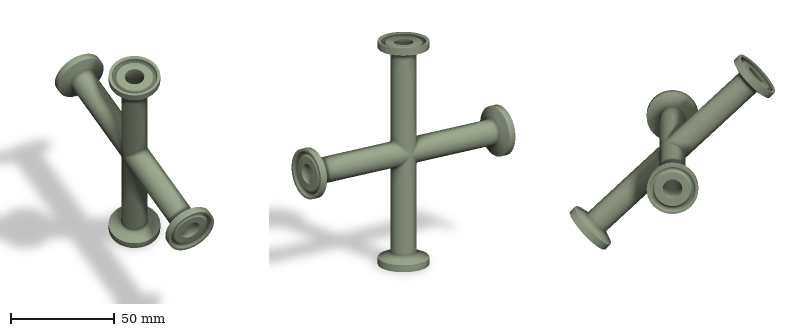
import cadquery as cq
import math

tube_diameter = 12.7
bore_diameter = 9.4
leg_length = 44.5
crotch_fillet = 1.2

ferrule_length = 12.7
flange_diameter = 25.0
rim_thickness = 3.6
flange_back_angle = 20.0
neck_fillet = 0.8

land_recess = 0.7
land_edge_fillet = 0.5
bore_edge_fillet = 0.25

groove_outer_radius = 10.85
groove_land_radius = 8.76
groove_bottom_round = 0.75
rim_edge_fillet = 0.7
groove_wall_angle = 53.0

tube_radius = tube_diameter / 2
bore_radius = bore_diameter / 2
flange_radius = flange_diameter / 2

leg_directions = [(1, 0, 0), (-1, 0, 0), (0, 0, 1), (0, 0, -1)]


def make_run(radius, direction):
    """A straight cylinder through the middle of the cross, from leg end to leg end."""
    axis = cq.Vector(*direction)
    run = cq.Solid.makeCylinder(radius, 2 * leg_length, axis * -leg_length, axis)
    return cq.Workplane(obj=run)


def make_cross():
    """Two equal tubes crossing at right angles, with their seams rounded."""
    level = (1, 0, 0)
    upright = (0, 0, 1)
    body = make_run(tube_radius, upright).union(make_run(tube_radius, level))
    body = body.edges("%ELLIPSE").fillet(crotch_fillet)
    body = body.cut(make_run(bore_radius, upright)).cut(make_run(bore_radius, level))
    return body.solids().val()


def edges_within(radius, height):
    """Selector for edges about Z at this height, out to this radius."""
    margin = 0.01
    low_corner = (-radius, -radius, height - margin)
    high_corner = (radius, radius, height + margin)
    return cq.selectors.BoxSelector(low_corner, high_corner, boundingbox=True)


def circle_at(radius, height):
    """Selector for the one circular edge about Z with this radius and height."""
    margin = 0.05
    return edges_within(radius + margin, height) - edges_within(radius - margin, height)


def make_upright_ferrule():
    """Revolved ferrule about Z: neck at Z = 0, recessed land and raised rim at the top."""
    rim_base = ferrule_length - rim_thickness
    land_height = ferrule_length - land_recess
    back_slope = math.tan(math.radians(flange_back_angle))
    neck_top = rim_base - (flange_radius - tube_radius) * back_slope

    wall_angle = math.radians(groove_wall_angle)
    bottom_middle = groove_outer_radius - groove_bottom_round
    wall_foot_radius = bottom_middle - groove_bottom_round * math.sin(wall_angle)
    wall_foot_height = land_height - (wall_foot_radius - groove_land_radius) * math.tan(wall_angle)
    bottom_center_height = wall_foot_height + groove_bottom_round * math.cos(wall_angle)

    blank = (
        cq.Workplane("XZ")
        .moveTo(bore_radius, 0)
        .lineTo(tube_radius, 0)
        .lineTo(tube_radius, neck_top)
        .lineTo(flange_radius, rim_base)
        .lineTo(flange_radius, ferrule_length)
        .lineTo(groove_outer_radius, ferrule_length)
        .lineTo(groove_outer_radius, bottom_center_height)
        .threePointArc(
            (bottom_middle, bottom_center_height - groove_bottom_round),
            (wall_foot_radius, wall_foot_height),
        )
        .lineTo(groove_land_radius, land_height)
        .lineTo(bore_radius, land_height)
        .close()
        .revolve(360, (0, 0), (0, 1))
    )
    blank = blank.edges(circle_at(tube_radius, neck_top)).fillet(neck_fillet)
    blank = blank.edges(circle_at(groove_outer_radius, ferrule_length)).fillet(rim_edge_fillet)
    blank = blank.edges(circle_at(groove_land_radius, land_height)).fillet(land_edge_fillet)
    return blank.edges(circle_at(bore_radius, land_height)).fillet(bore_edge_fillet)


def make_ferrule(direction):
    """One ferrule butted against the end of the leg that points along direction."""
    ferrule = make_upright_ferrule().solids().val()
    axis = cq.Vector(*direction)
    leg_end = cq.Plane(origin=axis * leg_length, xDir=(0, 1, 0), normal=axis)
    return ferrule.moved(cq.Location(leg_end))


cross = make_cross()
ferrules = [make_ferrule(direction) for direction in leg_directions]

result = cq.Compound.makeCompound([cross, *ferrules])